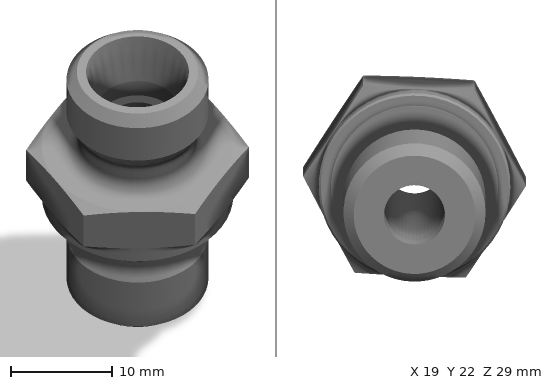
import cadquery as cq
import math

total_length = 29.0

thread_radius = 14.0 / 2
end_chamfer = 1.02
runout_angle = math.radians(30)
runout_fillet_radius = 1.0
lower_thread_top = 7.0
upper_thread_bottom = 23.58
lower_neck_radius = 11.7 / 2
upper_neck_radius = 11.7 / 2

hex_across_flats = 19.02
hex_bottom = 14.0
hex_top = 19.0
hex_chamfer_angle = math.radians(15)
flange_radius = 18.9 / 2
flange_bottom = 12.0
flange_bevel = 0.2
hex_root_fillet = 1.0

bore_radius = 6.0 / 2
socket_radius = 8.0 / 2
socket_depth = 7.0
cone_mouth_radius = 10.15 / 2
cone_half_angle = math.radians(12)

seal_outer_radius = 16.5 / 2
seal_inner_radius = lower_neck_radius
seal_protrusion = 0.3
seal_groove_depth = 1.15


def ring(outer_radius, inner_radius, bottom, height):
    """Flat ring around the Z axis."""
    return (
        cq.Workplane("XY")
        .workplane(offset=bottom)
        .circle(outer_radius)
        .circle(inner_radius)
        .extrude(height)
    )


def threaded_end(neck_radius, thread_length, length):
    """Stud along +Z from its free end: chamfer, thread, conical run-out, filleted neck."""
    fillet_start_radius = neck_radius + runout_fillet_radius * (1 - math.cos(runout_angle))
    fillet_start = thread_length + (thread_radius - fillet_start_radius) / math.tan(runout_angle)
    fillet_end = fillet_start + runout_fillet_radius * math.sin(runout_angle)
    half_angle = runout_angle / 2
    fillet_middle = (
        neck_radius + runout_fillet_radius * (1 - math.cos(half_angle)),
        fillet_end - runout_fillet_radius * math.sin(half_angle),
    )
    return (
        cq.Workplane("XZ")
        .lineTo(thread_radius - end_chamfer, 0)
        .lineTo(thread_radius, end_chamfer)
        .lineTo(thread_radius, thread_length)
        .lineTo(fillet_start_radius, fillet_start)
        .threePointArc(fillet_middle, (neck_radius, fillet_end))
        .lineTo(neck_radius, length)
        .lineTo(0, length)
        .close()
        .revolve(360, (0, 0, 0), (0, 1, 0))
    )


def hexagon():
    """Hexagon with flats facing X, its corners chamfered at both ends."""
    corner_radius = hex_across_flats / math.sqrt(3)
    corner_drop = (corner_radius - flange_radius) * math.tan(hex_chamfer_angle)
    prism = (
        cq.Workplane("XY")
        .workplane(offset=hex_bottom)
        .polygon(6, 2 * corner_radius)
        .extrude(hex_top - hex_bottom)
        .rotate((0, 0, 0), (0, 0, 1), 90)
    )
    chamfer_envelope = (
        cq.Workplane("XZ")
        .moveTo(0, hex_bottom)
        .lineTo(flange_radius, hex_bottom)
        .lineTo(corner_radius, hex_bottom + corner_drop)
        .lineTo(corner_radius, hex_top - corner_drop)
        .lineTo(flange_radius, hex_top)
        .lineTo(0, hex_top)
        .close()
        .revolve(360, (0, 0, 0), (0, 1, 0))
    )
    return prism.intersect(chamfer_envelope)


def flange():
    """Round flange with a small bevel on its lower rim."""
    return (
        cq.Workplane("XZ")
        .moveTo(0, flange_bottom)
        .lineTo(flange_radius - flange_bevel, flange_bottom)
        .lineTo(flange_radius, flange_bottom + flange_bevel)
        .lineTo(flange_radius, hex_bottom)
        .lineTo(0, hex_bottom)
        .close()
        .revolve(360, (0, 0, 0), (0, 1, 0))
    )


def root_fillet():
    """Concave collar that blends the upper neck into the top of the hexagon."""
    arc_offset = hex_root_fillet * (1 - math.sqrt(0.5))
    return (
        cq.Workplane("XZ")
        .moveTo(0, hex_top)
        .lineTo(upper_neck_radius + hex_root_fillet, hex_top)
        .threePointArc(
            (upper_neck_radius + arc_offset, hex_top + arc_offset),
            (upper_neck_radius, hex_top + hex_root_fillet),
        )
        .lineTo(0, hex_top + hex_root_fillet)
        .close()
        .revolve(360, (0, 0, 0), (0, 1, 0))
    )


def bore():
    """Stepped passage: through bore, tube socket and conical mouth."""
    cone_depth = (cone_mouth_radius - socket_radius) / math.tan(cone_half_angle)
    return (
        cq.Workplane("XZ")
        .lineTo(bore_radius, 0)
        .lineTo(bore_radius, total_length - socket_depth)
        .lineTo(socket_radius, total_length - socket_depth)
        .lineTo(socket_radius, total_length - cone_depth)
        .lineTo(cone_mouth_radius, total_length)
        .lineTo(0, total_length)
        .close()
        .revolve(360, (0, 0, 0), (0, 1, 0))
    )


def make_fitting():
    """Fitting body with both threaded ends, hexagon, bore and seal groove."""
    lower_end = threaded_end(lower_neck_radius, lower_thread_top, hex_bottom)
    upper_end = (
        threaded_end(upper_neck_radius, total_length - upper_thread_bottom, total_length - hex_top)
        .rotate((0, 0, 0), (1, 0, 0), 180)
        .translate((0, 0, total_length))
    )
    body = lower_end.union(flange()).union(hexagon()).union(root_fillet()).union(upper_end)
    groove = ring(seal_outer_radius, seal_inner_radius, flange_bottom, seal_groove_depth)
    return body.cut(groove).cut(bore()).solids()


def make_seal():
    """Sealing ring that fills the groove and stands proud of the flange."""
    return ring(
        seal_outer_radius,
        seal_inner_radius,
        flange_bottom - seal_protrusion,
        seal_groove_depth + seal_protrusion,
    )


fitting = make_fitting()
seal = make_seal()
result = cq.Compound.makeCompound([fitting.val(), seal.val()])